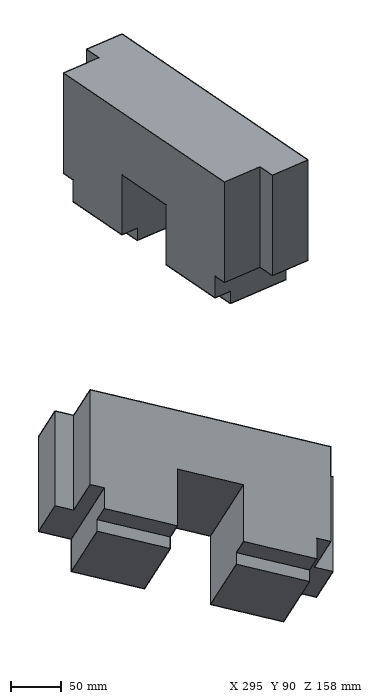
import cadquery as cq

length = 295.0
depth = 90.0
height = 158.0

ear_width = 19.8
ear_depth = 45.0

upper_height = 118.0
legs_span = 225.5
slot_width = 70.0
slot_height = 85.0

step_depth = 19.5
step_height = 14.5

legs_height = height - upper_height
front_width = length - 2 * ear_width


def block(width, y_min, y_max, z_min, z_max):
    """Box centred in X between the given Y and Z limits."""
    size_y = y_max - y_min
    size_z = z_max - z_min
    box = cq.Workplane("XY").box(width, size_y, size_z, centered=(True, False, False))
    return box.translate((0, y_min, z_min))


front_body = block(front_width, 0, depth, legs_height, height)
ears = block(length, depth - ear_depth, depth, legs_height, height)
legs = block(legs_span, 0, depth, 0, legs_height)
slot = block(slot_width, 0, depth, 0, slot_height)
front_step = block(legs_span, 0, step_depth, 0, step_height)

result = front_body.union(ears).union(legs).cut(slot).cut(front_step)